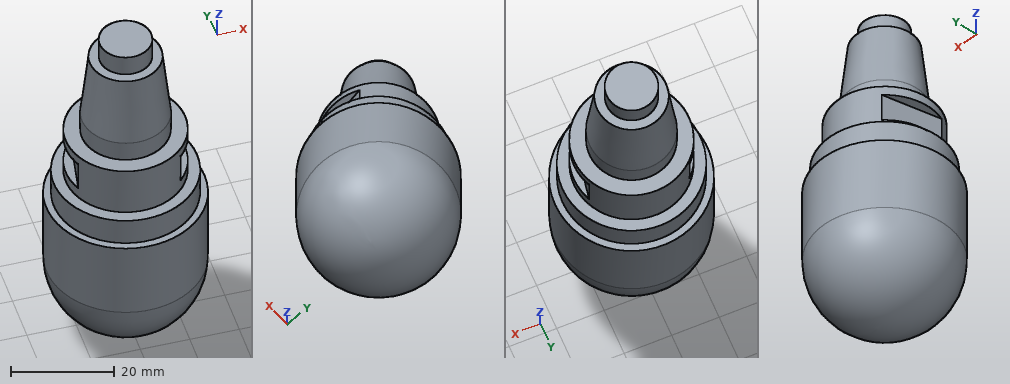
import cadquery as cq

total_height = 74.0

bulb_diameter = 32.05
bulb_height = 33.1

flange_diameter = 29.0
flange_height = 6.0
collar_diameter = 24.2
collar_height = 10.95
neck_diameter = 17.7
neck_height = 4.5
taper_top_diameter = 14.4
tip_diameter = 10.4
tip_height = 4.5

flat_count = 2
across_flats = 20.0
flat_height = 6.4
flat_above_flange = 2.45
flat_turn = -10.0

flange_top = bulb_height + flange_height
collar_top = flange_top + collar_height
neck_top = collar_top + neck_height
taper_top = total_height - tip_height


def make_bulb():
    """Cylinder with a hemispherical lower end."""
    radius = bulb_diameter / 2
    diagonal = radius * 0.5 ** 0.5
    return (
        cq.Workplane("XZ")
        .moveTo(0, 0)
        .threePointArc((diagonal, radius - diagonal), (radius, radius))
        .lineTo(radius, bulb_height)
        .lineTo(0, bulb_height)
        .close()
        .revolve(360, (0, 0, 0), (0, 1, 0))
    )


def make_stepped_body():
    """Flange, collar, neck, taper and tip turned as one profile."""
    return (
        cq.Workplane("XZ")
        .moveTo(0, bulb_height)
        .lineTo(flange_diameter / 2, bulb_height)
        .lineTo(flange_diameter / 2, flange_top)
        .lineTo(collar_diameter / 2, flange_top)
        .lineTo(collar_diameter / 2, collar_top)
        .lineTo(neck_diameter / 2, collar_top)
        .lineTo(neck_diameter / 2, neck_top)
        .lineTo(taper_top_diameter / 2, taper_top)
        .lineTo(tip_diameter / 2, taper_top)
        .lineTo(tip_diameter / 2, total_height)
        .lineTo(0, total_height)
        .close()
        .revolve(360, (0, 0, 0), (0, 1, 0))
    )


def make_flat_cutter(angle):
    """Block that removes the collar outside one wrench flat."""
    return (
        cq.Workplane("XY")
        .box(collar_diameter, collar_diameter, flat_height, centered=(False, True, False))
        .translate((across_flats / 2, 0, flange_top + flat_above_flange))
        .rotate((0, 0, 0), (0, 0, 1), angle)
    )


def make_holder():
    """Stepped body with its wrench flats."""
    holder = make_stepped_body()
    for index in range(flat_count):
        holder = holder.cut(make_flat_cutter(flat_turn + index * 360 / flat_count))
    return holder


bulb = make_bulb()
holder = make_holder()

result = cq.Compound.makeCompound([bulb.val(), holder.val()])